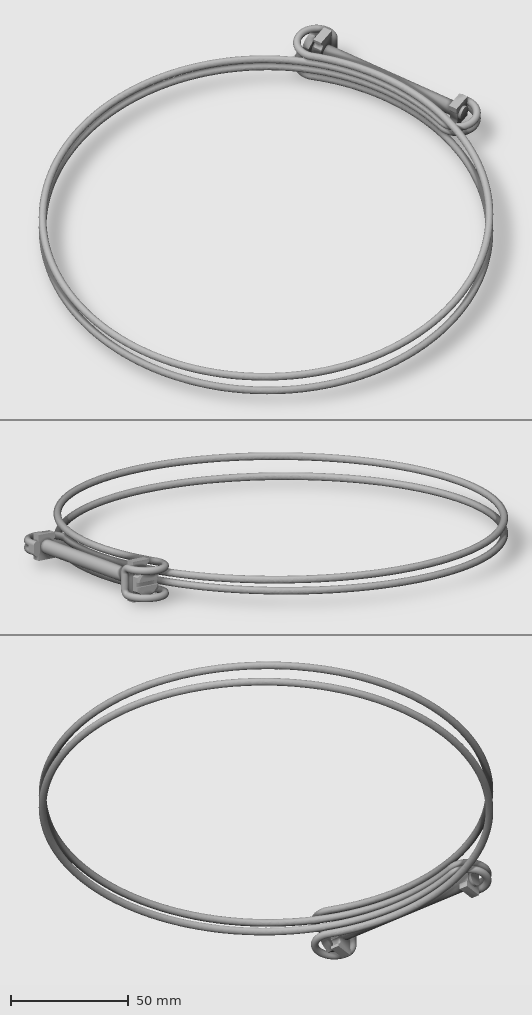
import cadquery as cq
import math

ring_outer_radius = 96.5
wire_radius = 1.6
eye_radius = 8.3
eye_x = 35.2
outer_eye_spacing = 12.0
hook_x = 31.7
elbow_radius = 2.6
sleeve_start_x = 31.3

outer_eye_z = outer_eye_spacing / 2
inner_eye_z = wire_radius
ring_radius = ring_outer_radius - wire_radius
eye_distance = ring_radius + eye_radius
eye_y = math.sqrt(eye_distance**2 - eye_x**2)
eye_top_y = eye_y + eye_radius
join_x = eye_x * ring_radius / eye_distance
join_y = eye_y * ring_radius / eye_distance
join_angle = math.degrees(math.atan2(join_y, join_x))
coil_angle = 360 + 2 * (90 - join_angle)

screw_y = 99.7
lug_length = 3.9
lug_width = 8.5
lug_inner_x = 32.0
left_lug_height = 18.0
right_lug_height = 11.4
left_groove_depth = 1.5
right_groove_depth = 0.8

shank_diameter = 6.3
shank_end_x = 37.0
head_start_x = -41.1
head_length = 3.7
head_flats = 11.0
head_face_radius = 4.9
bevel_reach = 2.0
bevel_angle = 20
slot_width = 2.0
slot_depth = 1.2


def wire_along(path, start, direction):
    """Round wire along a path, from a section square to the starting direction."""
    plane = cq.Plane(origin=start, xDir=(0, 0, 1), normal=direction)
    section = cq.Workplane(plane).circle(wire_radius)
    return section.sweep(cq.Workplane(obj=path), isFrenet=True)


def coil():
    """Ring that climbs from the inner eye height to the outer one in a little over a full turn."""
    rise = outer_eye_z - inner_eye_z
    helix = cq.Wire.makeHelix(rise * 360 / coil_angle, rise, ring_radius)
    helix = helix.rotate(cq.Vector(0, 0, 0), cq.Vector(0, 0, 1), join_angle)
    helix = helix.translate(cq.Vector(0, 0, inner_eye_z))
    return wire_along(helix, (join_x, join_y, inner_eye_z), (-join_y, join_x, 0))


def eye(side, z):
    """Flat arc from the ring, tangent to it, round to the top of the eye."""
    middle_angle = math.radians(join_angle - 90) / 2
    start = (side * join_x, join_y, z)
    middle = (
        side * (eye_x + eye_radius * math.cos(middle_angle)),
        eye_y + eye_radius * math.sin(middle_angle),
        z,
    )
    end = (side * eye_x, eye_top_y, z)
    arc = cq.Edge.makeThreePointArc(cq.Vector(*start), cq.Vector(*middle), cq.Vector(*end))
    return wire_along(cq.Wire.assembleEdges([arc]), start, (side * join_y, -join_x, 0))


def hook():
    """Left end of the wire, bent down behind the left lug to the middle plane."""
    path = (
        cq.Workplane("XZ", origin=(0, eye_top_y, 0))
        .moveTo(-eye_x, outer_eye_z)
        .lineTo(-hook_x - elbow_radius, outer_eye_z)
        .radiusArc((-hook_x, outer_eye_z - elbow_radius), elbow_radius)
        .lineTo(-hook_x, 0)
    )
    section = cq.Workplane("YZ", origin=(-eye_x, eye_top_y, outer_eye_z)).circle(wire_radius)
    return section.sweep(path)


def sleeve():
    """Cap that joins the inner ends of the two wires behind the right lug."""
    plane = cq.Workplane("YZ", origin=(sleeve_start_x, eye_top_y, 0))
    return wire_pair_outline(plane).extrude(eye_x - sleeve_start_x)


def clamp_wire():
    """Upper wire: hook, outer eye, coil and inner eye in one piece."""
    return coil().union(eye(-1, outer_eye_z)).union(hook()).union(eye(1, inner_eye_z))


def shank():
    length = shank_end_x - head_start_x
    return cq.Workplane("YZ", origin=(head_start_x, screw_y, 0)).circle(shank_diameter / 2).extrude(length)


def lug(side, height, groove_shape, groove_depth):
    """Plate with a screw hole and a groove shape cut along X into its edge nearest the ring."""
    center_x = side * (lug_inner_x + lug_length / 2)
    block = cq.Workplane("XY").box(lug_length, lug_width, height).translate((center_x, screw_y, 0))
    groove_y = screw_y - lug_width / 2 + groove_depth - wire_radius
    plane = cq.Workplane("YZ", origin=(center_x, groove_y, 0))
    grooves = groove_shape(plane).extrude(lug_length, both=True)
    return block.cut(grooves).cut(shank())


def two_round_grooves(plane):
    return plane.pushPoints([(0, -outer_eye_z), (0, outer_eye_z)]).circle(wire_radius)


def wire_pair_outline(plane):
    """Rounded outline around the two inner wire ends, which lie against each other."""
    return plane.slot2D(2 * inner_eye_z + 2 * wire_radius, 2 * wire_radius, 90)


def screw():
    """Hexagon-headed screw with a bevelled, slotted head."""
    head = (
        cq.Workplane("YZ", origin=(head_start_x, screw_y, 0))
        .polygon(6, head_flats, circumscribed=True)
        .extrude(head_length)
    )
    bevel_height = bevel_reach * math.tan(math.radians(bevel_angle))
    bevel = (
        cq.Workplane("YZ", origin=(head_start_x, screw_y, 0))
        .circle(head_face_radius)
        .extrude(bevel_height, taper=bevel_angle - 90)
        .faces(">X")
        .workplane()
        .circle(head_face_radius + bevel_reach)
        .extrude(head_length)
    )
    slot = cq.Workplane("XY").box(2 * slot_depth, 2 * head_flats, slot_width)
    return shank().union(head.intersect(bevel)).cut(slot.translate((head_start_x, screw_y, 0)))


upper_wire = clamp_wire()
lower_wire = upper_wire.mirror("XY")
end_sleeve = sleeve()
left_lug = lug(-1, left_lug_height, two_round_grooves, left_groove_depth).cut(upper_wire).cut(lower_wire)
right_lug = lug(1, right_lug_height, wire_pair_outline, right_groove_depth)
right_lug = right_lug.cut(upper_wire).cut(lower_wire).cut(end_sleeve)
clamp_screw = screw().cut(upper_wire).cut(lower_wire)

result = cq.Compound.makeCompound([
    upper_wire.val(),
    lower_wire.val(),
    end_sleeve.val(),
    left_lug.val(),
    right_lug.val(),
    clamp_screw.val(),
])